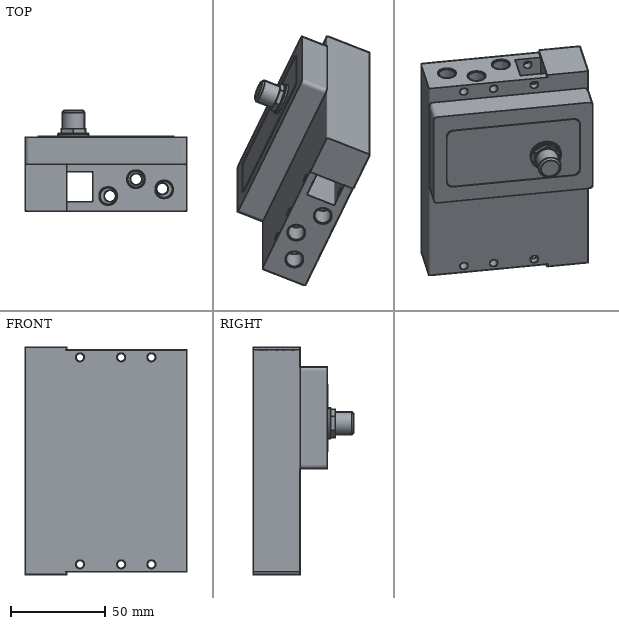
import cadquery as cq
import math

width = 86.0
height = 121.0
depth = 25.0
bar_width = 22.3
bar_step = 1.5
edge_radius = 0.7

cover_bottom = 56.3
cover_height = 54.2
cover_thickness = 14.4
cover_radius = 2.2
cover_back = depth + cover_thickness
cover_centre_z = cover_bottom + cover_height / 2

label_width = 71.9
label_height = 35.5
label_thickness = 0.4
label_radius = 3.6

connector_x = 25.7
connector_z = 80.5
total_depth = 53.6
flange_diameter = 16.5
flange_back = 41.4
flange_chamfer = 0.4
nut_across_flats = 13.1
nut_back = 43.8
barrel_diameter = 12.1
barrel_chamfer = 1.1

window_width = 13.7
window_depth = 15.9
window_front = 5.1
window_radius = 0.5

port_places = [
    (44.2, 8.1, 45.1, 8.1),
    (58.9, 17.1, 59.0, 17.1),
    (73.9, 11.6, 73.0, 12.0),
]
port_diameter = 8.7
port_depth = 14.5
port_chamfer = 0.5
bore_diameter = 6.0

mount_xs = [29.2, 51.1, 67.2]
mount_inset = 5.5
mount_diameter = 4.2


def rear_plane(x, y, z):
    """Sketch plane facing +Y, with its local x along +X and local y along -Z."""
    plane = cq.Plane(origin=(x, y, z), xDir=(1, 0, 0), normal=(0, 1, 0))
    return cq.Workplane(plane)


def rounded_column(column_width, bottom, top):
    """Block from x = 0 with its four upright edges rounded."""
    column = cq.Workplane("XY", origin=(0, 0, bottom))
    column = column.box(column_width, depth, top - bottom, centered=False)
    return column.edges("|Z").fillet(edge_radius)


def make_housing():
    block = rounded_column(width, bar_step, height - bar_step)
    bar = rounded_column(bar_width, 0, height)
    return block.union(bar)


def make_plate(plate_width, plate_height, front, back, radius):
    """Plate centred on the cover, with rounded corners."""
    plate = rear_plane(width / 2, front, cover_centre_z)
    plate = plate.rect(plate_width, plate_height).extrude(back - front)
    return plate.edges("|Y").fillet(radius)


def make_connector():
    flange = rear_plane(connector_x, cover_back, connector_z)
    flange = flange.circle(flange_diameter / 2).extrude(flange_back - cover_back)
    flange = flange.faces(">Y").chamfer(flange_chamfer)

    nut_across_corners = nut_across_flats / math.cos(math.pi / 6)
    nut = rear_plane(connector_x, flange_back, connector_z)
    nut = nut.transformed(rotate=(0, 0, 90)).polygon(6, nut_across_corners)
    nut = nut.extrude(nut_back - flange_back)

    barrel = rear_plane(connector_x, nut_back, connector_z)
    barrel = barrel.circle(barrel_diameter / 2).extrude(total_depth - nut_back)
    barrel = barrel.faces(">Y").chamfer(barrel_chamfer)
    return flange.union(nut).union(barrel)


def make_window():
    """Through window, rounded only in the two corners away from the bar."""
    window = cq.Workplane("XY", origin=(bar_width, window_front, 0))
    window = window.box(window_width, window_depth, height, centered=False)
    return window.faces(">X").edges("|Z").fillet(window_radius)


def make_port(x, y):
    """Blind port sunk into the top face, widening at its mouth."""
    top = height - bar_step
    radius = port_diameter / 2
    port = (
        cq.Workplane("XZ", origin=(x, y, top))
        .lineTo(radius + port_chamfer, 0)
        .lineTo(radius, -port_chamfer)
        .lineTo(radius, -port_depth)
        .lineTo(0, -port_depth)
        .close()
    )
    return port.revolve(360, (0, 0, 0), (0, 1, 0))


def cut_ports(body):
    for port_x, port_y, bore_x, bore_y in port_places:
        top_port = make_port(port_x, port_y)
        bottom_port = top_port.mirror("XY", (0, 0, height / 2))
        bore = cq.Workplane("XY", origin=(bore_x, bore_y, 0))
        bore = bore.circle(bore_diameter / 2).extrude(height)
        body = body.cut(top_port).cut(bottom_port).cut(bore)
    return body


def make_mount_holes():
    centres = [(x, -z) for x in mount_xs for z in (mount_inset, height - mount_inset)]
    holes = rear_plane(0, 0, 0).pushPoints(centres)
    return holes.circle(mount_diameter / 2).extrude(depth)


housing = cut_ports(make_housing().cut(make_window())).cut(make_mount_holes())
cover = make_plate(width, cover_height, depth, cover_back, cover_radius)
label = make_plate(label_width, label_height, cover_back, cover_back + label_thickness, label_radius)
result = housing.union(cover).union(label).union(make_connector())